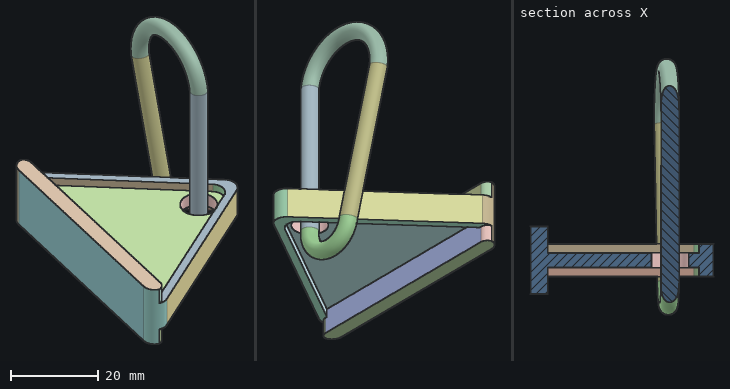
import cadquery as cq
import math

base_width = 59.0
tag_depth = 41.95
corner_radius = 3.0
tag_height = 7.5

bar_thickness = 4.0
bar_height = 15.5

wall_thickness = 2.0
recess_depth = 2.05

hole_diameter = 8.5
hole_y = 32.0

wire_diameter = 4.2
leg_length = 37.35
leg_spread = 15.3
small_bend_radius = 6.4
upright_leg_bottom = -3.2
ring_turn = 4.0
joint_tolerance = 0.01

half_width = base_width / 2
corner_x = half_width - corner_radius
apex_center_y = tag_depth - corner_radius
half_apex_angle = math.atan2(corner_x, apex_center_y - corner_radius)


def tag_outline_prism(height):
    """Triangle with equally rounded corners, centred on z = 0."""
    corners = [(-corner_x, corner_radius), (corner_x, corner_radius), (0, apex_center_y)]
    return (
        cq.Workplane("XY", origin=(0, 0, -height / 2))
        .polyline(corners)
        .close()
        .offset2D(corner_radius)
        .extrude(height)
    )


def cross_bar():
    """Bar with round ends, trimmed to the rounded corners of the tag outline."""
    bar = (
        cq.Workplane("XY", origin=(0, bar_thickness / 2, 0))
        .slot2D(base_width, bar_thickness)
        .extrude(bar_height / 2, both=True)
    )
    return bar.intersect(tag_outline_prism(bar_height))


def recess():
    """Pocket in the top face that leaves an even side wall and ends at the bar."""
    sharp_offset = (corner_radius - wall_thickness) / math.sin(half_apex_angle)
    tip_y = apex_center_y + sharp_offset
    half_base = (tip_y - bar_thickness) * math.tan(half_apex_angle)
    return (
        cq.Workplane("XY", origin=(0, 0, tag_height / 2 - recess_depth))
        .polyline([(-half_base, bar_thickness), (half_base, bar_thickness), (0, tip_y)])
        .close()
        .extrude(recess_depth)
        .edges("|Z and >Y")
        .fillet(corner_radius)
    )


def make_tag():
    hole = (
        cq.Workplane("XY", origin=(0, hole_y, 0))
        .circle(hole_diameter / 2)
        .extrude(tag_height, both=True)
    )
    top_recess = recess()
    bottom_recess = top_recess.mirror("XY")
    plate = tag_outline_prism(tag_height).cut(top_recess).cut(bottom_recess).cut(hole)
    return plate.union(cross_bar())


def bend(radius, center_height, side):
    """Full round ring of wire, revolved from the point opposite the half that becomes the bend."""
    return (
        cq.Workplane("YZ", origin=(0, 0, center_height))
        .center(0, -side * radius)
        .circle(wire_diameter / 2)
        .revolve(360, (0, side * radius), (1, side * radius))
    )


def leg(side):
    """Straight wire that starts at the end of the small bend and runs past both joints."""
    tilt = side * math.radians(leg_spread / 2)
    direction = cq.Vector(math.sin(tilt), 0, math.cos(tilt))
    overrun = wire_diameter
    start = cq.Vector(side * small_bend_radius, 0, 0) - direction * overrun
    return cq.Workplane(cq.Solid.makeCylinder(wire_diameter / 2, leg_length + 2 * overrun, start, direction))


def leg_zone(large_bend_radius, large_bend_height):
    """Space between the mitre planes, which halve the small angle between each leg and bend."""
    reach = large_bend_radius + wire_diameter
    mitre_slope = math.tan(math.radians(leg_spread / 4))

    def mitre_edge(radius, height):
        ridge = height + radius * mitre_slope
        eave = ridge - reach * mitre_slope
        return [(-reach, eave), (0, ridge), (reach, eave)]

    lower_edge = mitre_edge(small_bend_radius, 0)
    upper_edge = mitre_edge(large_bend_radius, large_bend_height)
    return (
        cq.Workplane("XZ")
        .polyline(lower_edge + upper_edge[::-1])
        .close()
        .extrude(wire_diameter, both=True)
    )


def make_ring():
    """Ring built upright and symmetric, then leaned and turned so one leg stands in the hole."""
    lean = leg_spread / 2
    large_bend_radius = small_bend_radius + leg_length * math.sin(math.radians(lean))
    large_bend_height = leg_length * math.cos(math.radians(lean))
    zone = leg_zone(large_bend_radius, large_bend_height)
    ring = bend(large_bend_radius, large_bend_height, 1).cut(zone)
    for side in (-1, 1):
        ring = ring.union(leg(side).intersect(zone), tol=joint_tolerance)
    ring = ring.union(bend(small_bend_radius, 0, -1).cut(zone), tol=joint_tolerance)
    return (
        ring.translate((-small_bend_radius, 0, 0))
        .rotate((0, 0, 0), (0, 1, 0), -lean)
        .rotate((0, 0, 0), (0, 0, 1), ring_turn)
        .translate((0, hole_y, upright_leg_bottom))
    )


tag = make_tag()
ring = make_ring()
result = cq.Compound.makeCompound([tag.solids().val(), ring.solids().val()])